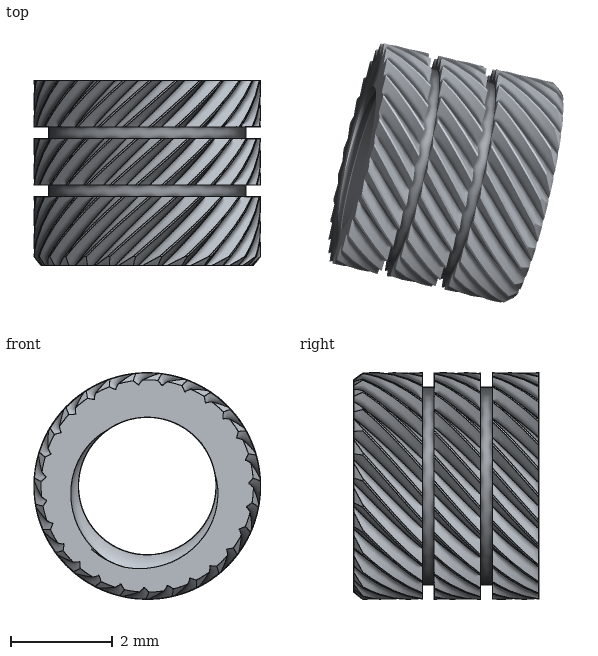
import cadquery as cq
import math

outer_radius = 2.225

lead_band_length = 1.355
band_length = 0.912
neck_length = 0.225
rear_band_count = 2
band_spacing = band_length + neck_length
length = lead_band_length + rear_band_count * band_spacing
neck_radius = 1.94

chamfer_length = 0.18
chamfer_depth = 0.142

tooth_count = 27
tooth_pitch_angle = 360 / tooth_count
tooth_depth = 0.23
root_radius = outer_radius - tooth_depth
crest_width = 0.055
crest_half_angle = math.degrees(crest_width / 2 / outer_radius)
knurl_lead = 12.26
lead_end_root_angle = 1.7

bore_radius = 1.35
thread_root_radius = 1.655
thread_pitch = 0.525
thread_groove_width = 0.36
thread_root_width = 0.02
lead_end_thread_angle = 248.0

end_overshoot = thread_pitch
radial_overlap = 0.045


def polar(radius, angle):
    """Point at a radius and an angle in degrees."""
    return (radius * math.cos(math.radians(angle)), radius * math.sin(math.radians(angle)))


def rod(radius, start, end):
    """Cylinder about the Y axis between two places along it."""
    return cq.Workplane("XZ", origin=(0, end, 0)).circle(radius).extrude(end - start)


def knurl_outline(root_angle):
    """Corners of the toothed section with one tooth root at the given angle."""
    points = []
    for tooth in range(tooth_count):
        tooth_root = root_angle + tooth * tooth_pitch_angle
        crest_angle = tooth_root + tooth_pitch_angle / 2
        points.append(polar(root_radius, tooth_root))
        points.append(polar(outer_radius, crest_angle - crest_half_angle))
        points.append(polar(outer_radius, crest_angle + crest_half_angle))
    return points


def knurled_band(start, band):
    """Ring of helical teeth, in step with the other bands."""
    end = start + band
    end_root_angle = lead_end_root_angle - 360 * end / knurl_lead
    toothed_bar = (
        cq.Workplane("XZ", origin=(0, end, 0))
        .polyline(knurl_outline(end_root_angle))
        .close()
        .twistExtrude(band, 360 * band / knurl_lead)
    )
    return toothed_bar.cut(rod(neck_radius, start, end))


def chamfer_cutter():
    """Ring with a conical inner side that bevels the lead-in end."""
    cone_slope = chamfer_depth / chamfer_length
    clear_radius = outer_radius + radial_overlap
    end_radius = outer_radius - chamfer_depth
    section = [
        (end_radius, 0),
        (clear_radius, (clear_radius - end_radius) / cone_slope),
        (clear_radius, 0),
    ]
    return cq.Workplane("XY").polyline(section).close().revolve(360, (0, 0, 0), (0, 1, 0))


def thread_cutter():
    """Coil of narrow-rooted V section that passes both ends of the bore."""
    inner_radius = bore_radius - radial_overlap
    root_half_width = thread_root_width / 2
    flank_slope = (thread_groove_width / 2 - root_half_width) / (thread_root_radius - bore_radius)
    inner_half_width = root_half_width + flank_slope * (thread_root_radius - inner_radius)
    path = cq.Wire.makeHelix(thread_pitch, length + 2 * end_overshoot, inner_radius)
    coil = (
        cq.Workplane("XZ")
        .moveTo(inner_radius, -inner_half_width)
        .lineTo(thread_root_radius, -root_half_width)
        .lineTo(thread_root_radius, root_half_width)
        .lineTo(inner_radius, inner_half_width)
        .close()
        .sweep(cq.Workplane(obj=path), isFrenet=True)
    )
    return (
        coil.rotate((0, 0, 0), (1, 0, 0), -90)
        .translate((0, -end_overshoot, 0))
        .rotate((0, 0, 0), (0, 1, 0), -lead_end_thread_angle)
    )


def knurled_body():
    """Outer form without its bore: three toothed bands around a plain rod that shows as the necks."""
    body = rod(neck_radius, 0, length).union(knurled_band(0, lead_band_length).cut(chamfer_cutter()))
    for band_index in range(rear_band_count):
        band_start = lead_band_length + neck_length + band_index * band_spacing
        body = body.union(knurled_band(band_start, band_length))
    return body


def threaded_sleeve():
    """Tube that holds the threaded bore, as long as the body and as wide as its necks."""
    bore = rod(bore_radius, -end_overshoot, length + end_overshoot)
    return rod(neck_radius, 0, length).cut(thread_cutter()).cut(bore)


def with_bore(body, sleeve):
    """Solid bounded by the body's outside and the sleeve's bore.

    The two sets of faces never cross, so joining them needs no slow boolean cut of thread against knurl.
    """
    between_ends = "not (<Y or >Y)"
    outside = body.faces(between_ends).vals()
    sleeve_faces = sleeve.faces(between_ends).vals()
    sleeve_outside = max(sleeve_faces, key=lambda face: face.BoundingBox().xmax)
    bore_faces = [face for face in sleeve_faces if face is not sleeve_outside]
    end_faces = []
    for end in ("<Y", ">Y"):
        rim = body.faces(end).val().outerWire()
        bore_mouth = sleeve.faces(end).val().innerWires()
        end_faces.append(cq.Face.makeFromWires(rim, bore_mouth))
    return cq.Solid.makeSolid(cq.Shell.makeShell(outside + bore_faces + end_faces))


result = cq.Workplane(obj=with_bore(knurled_body(), threaded_sleeve()))